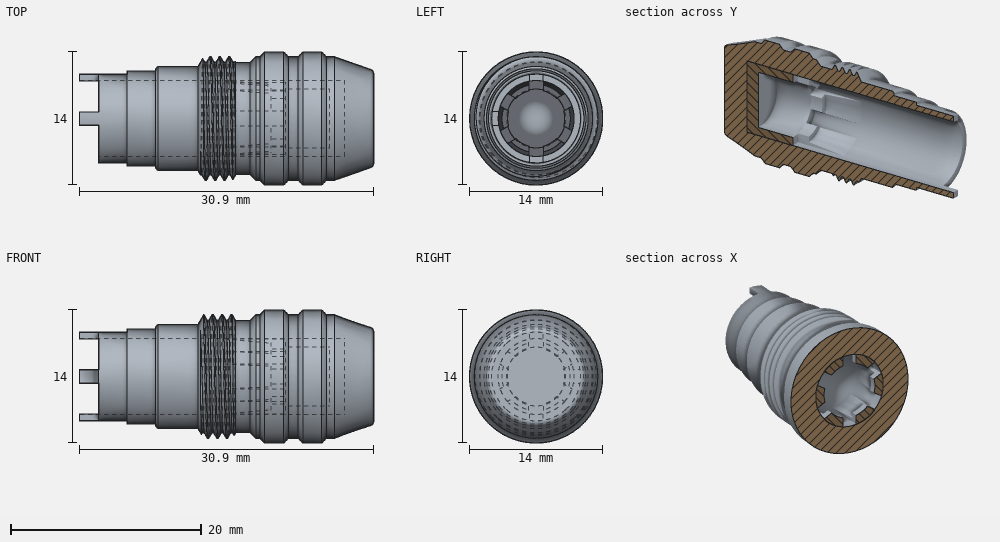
import cadquery as cq
import math

key_length = 2.0
nose_end = 5.0
collar_end = 8.0
thread_start = 12.45
thread_end = 16.42
relief_end = 17.95
front_ridge_start = 18.95
front_ridge_end = 21.95
rear_ridge_start = 22.98
rear_ridge_end = 25.95
taper_start = 26.8
total_length = 30.93

bore_radius = 4.0
nose_radius = 4.67
collar_radius = 5.0
barrel_radius = 5.47
relief_radius = 5.9
grip_radius = 6.5
ridge_diameter = 14.0
tail_radius = 5.05

barrel_chamfer = 0.25
tail_rounding = 0.5

key_width = 1.42
key_angles = (0, 90, 180)

thread_pitch = 1.0
thread_root_radius = 5.95
thread_root_flat = 0.22
thread_flank_angle = 30.0
groove_start = 11.55
groove_turns = 6
groove_outer_radius = 6.55

insert_front = 15.45
insert_length = 12.37
insert_floor = 1.55
ledge_radius = 3.0
well_radius = 3.1
lead_in_radius = 3.6
lead_in_length = 4.65
slot_width = 1.55
slot_length = 6.2
slot_count = 6

insert_back = insert_front + insert_length
ridge_radius = ridge_diameter / 2
flank_slope = math.tan(math.radians(thread_flank_angle))


def revolve_about_x(outline):
    """Turn an open (x, radius) outline, whose ends lie on the X axis, a full turn around X."""
    return outline.close().revolve(360, (0, 0, 0), (1, 0, 0))


def cylinder(radius, start, end):
    """Cylinder on the X axis between two axial stations."""
    return cq.Workplane("YZ", origin=(start, 0, 0)).circle(radius).extrude(end - start)


def turned_blank():
    """All the turned outer surfaces, with only a plain core where the thread goes."""
    ridge_rise = ridge_radius - grip_radius
    relief_rise = grip_radius - relief_radius
    outline = (
        cq.Workplane("XY")
        .moveTo(0, 0)
        .lineTo(0, nose_radius)
        .lineTo(nose_end, nose_radius)
        .lineTo(nose_end, collar_radius)
        .lineTo(collar_end, collar_radius)
        .lineTo(collar_end, barrel_radius - barrel_chamfer)
        .lineTo(collar_end + barrel_chamfer, barrel_radius)
        .lineTo(thread_end, barrel_radius)
        .lineTo(thread_end, relief_radius)
        .lineTo(relief_end, relief_radius)
        .lineTo(relief_end + relief_rise, grip_radius)
    )
    for start, end in ((front_ridge_start, front_ridge_end), (rear_ridge_start, rear_ridge_end)):
        outline = (
            outline.lineTo(start, grip_radius)
            .lineTo(start + ridge_rise, ridge_radius)
            .lineTo(end - ridge_rise, ridge_radius)
            .lineTo(end, grip_radius)
        )
    outline = (
        outline.lineTo(taper_start, grip_radius)
        .lineTo(total_length, tail_radius)
        .lineTo(total_length, 0)
    )
    return revolve_about_x(outline).faces(">X").edges().fillet(tail_rounding)


def thread_groove():
    """Helical V groove that runs out past both ends of the threaded band."""
    root_half = thread_root_flat / 2
    mouth_half = root_half + (groove_outer_radius - thread_root_radius) * flank_slope
    helix = cq.Wire.makeHelix(
        thread_pitch,
        thread_pitch * groove_turns,
        thread_root_radius,
        cq.Vector(groove_start, 0, 0),
        cq.Vector(1, 0, 0),
    )
    section = [
        (groove_start - root_half, thread_root_radius),
        (groove_start - mouth_half, groove_outer_radius),
        (groove_start + mouth_half, groove_outer_radius),
        (groove_start + root_half, thread_root_radius),
    ]
    return cq.Workplane("XZ").polyline(section).close().sweep(cq.Workplane(obj=helix), isFrenet=True)


def threaded_band():
    """Threaded stretch of the shell, with both ends chamfered at the flank angle."""
    front_chamfer = (grip_radius - barrel_radius) * flank_slope
    rear_chamfer = (grip_radius - relief_radius) * flank_slope
    envelope = revolve_about_x(
        cq.Workplane("XY")
        .moveTo(thread_start, 0)
        .lineTo(thread_start, barrel_radius)
        .lineTo(thread_start + front_chamfer, grip_radius)
        .lineTo(thread_end - rear_chamfer, grip_radius)
        .lineTo(thread_end, relief_radius)
        .lineTo(thread_end, 0)
    )
    band = cylinder(grip_radius, thread_start, thread_end).cut(thread_groove())
    return band.intersect(envelope)


def key_blanks():
    """Radial bars that mark where the nose is left standing as keys."""
    bar = cq.Workplane("XY").box(key_length, key_width, ridge_radius, centered=(False, True, False))
    blanks = cq.Workplane("XY")
    for angle in key_angles:
        blanks = blanks.add(bar.rotate((0, 0, 0), (1, 0, 0), -angle))
    return blanks.combine()


def make_housing():
    """Threaded outer shell with a blind bore and three keys on its nose."""
    shell = turned_blank().union(threaded_band())
    shell = shell.cut(cylinder(bore_radius, 0, insert_back))
    key_gaps = cylinder(ridge_radius, 0, key_length).cut(key_blanks())
    return shell.cut(key_gaps)


def make_insert():
    """Cup with a funnel mouth, an inner ledge and parallel-sided slots through its rim."""
    slot_end = insert_front + slot_length
    lead_in_end = insert_front + lead_in_length
    well_floor = insert_back - insert_floor
    cup = revolve_about_x(
        cq.Workplane("XY")
        .moveTo(well_floor, 0)
        .lineTo(well_floor, well_radius)
        .lineTo(slot_end, well_radius)
        .lineTo(slot_end, ledge_radius)
        .lineTo(lead_in_end, ledge_radius)
        .lineTo(lead_in_end, lead_in_radius)
        .lineTo(insert_front, bore_radius)
        .lineTo(insert_back, bore_radius)
        .lineTo(insert_back, 0)
    )
    slot = (
        cq.Workplane("XY", origin=(insert_front, 0, 0))
        .box(slot_length, slot_width, ridge_radius, centered=(False, True, False))
    )
    for index in range(slot_count):
        cup = cup.cut(slot.rotate((0, 0, 0), (1, 0, 0), index * 360 / slot_count))
    return cup


housing = make_housing()
insert = make_insert()
result = cq.Compound.makeCompound([housing.val(), insert.val()])